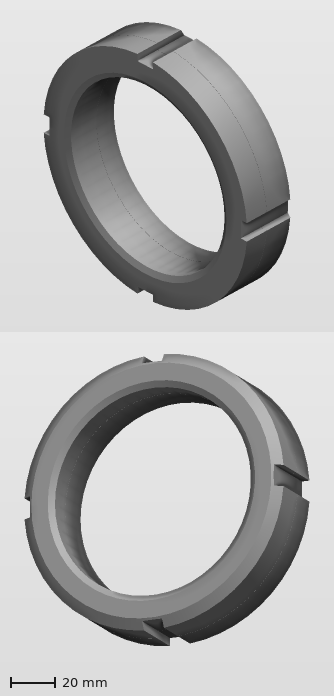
import cadquery as cq
import math

outer_diameter = 130.0
bore_diameter = 98.0
total_width = 31.0
front_rim_width = 13.0
joint_gap = 0.1

spigot_diameter = 110.2
spigot_length = 5.0

slot_count = 4
slot_width = 10.0
slot_depth = 4.0

chamfer_angle = 30
chamfer_slope = math.tan(math.radians(chamfer_angle))
bore_chamfer_depth = 2.9
bore_chamfer_width = bore_chamfer_depth * chamfer_slope
rim_chamfer_width = 2.9
rim_chamfer_depth = rim_chamfer_width / chamfer_slope

outer_radius = outer_diameter / 2
bore_radius = bore_diameter / 2
spigot_radius = spigot_diameter / 2
front_face = -total_width / 2
rear_face = total_width / 2
front_shoulder = front_face + front_rim_width
spigot_end = front_shoulder + spigot_length
rear_shoulder = front_shoulder + joint_gap
recess_floor = spigot_end + joint_gap


def revolve_about_y(profile):
    """Turn a closed (radius, y) profile into a ring around the Y axis."""
    return cq.Workplane("XY").polyline(profile).close().revolve(360, (0, 0, 0), (0, 1, 0))


def cut_spanner_slots(ring):
    """Cut the evenly spaced slots along the full width of a ring."""
    cutter = cq.Workplane("XY").box(2 * slot_depth, total_width, slot_width).translate((outer_radius, 0, 0))
    for index in range(slot_count):
        ring = ring.cut(cutter.rotate((0, 0, 0), (0, 1, 0), index * 360 / slot_count))
    return ring


def make_front_ring():
    """Front ring with a chamfered bore and a short spigot on its rear side."""
    ring = revolve_about_y([
        (bore_radius + bore_chamfer_depth, front_face),
        (outer_radius, front_face),
        (outer_radius, front_shoulder),
        (spigot_radius, front_shoulder),
        (spigot_radius, spigot_end),
        (bore_radius, spigot_end),
        (bore_radius, front_face + bore_chamfer_width),
    ])
    return cut_spanner_slots(ring)


def make_rear_ring():
    """Rear ring with a chamfered bore and rim, recessed for the spigot."""
    ring = revolve_about_y([
        (bore_radius, recess_floor),
        (spigot_radius, recess_floor),
        (spigot_radius, rear_shoulder),
        (outer_radius, rear_shoulder),
        (outer_radius, rear_face - rim_chamfer_width),
        (outer_radius - rim_chamfer_depth, rear_face),
        (bore_radius + bore_chamfer_depth, rear_face),
        (bore_radius, rear_face - bore_chamfer_width),
    ])
    return cut_spanner_slots(ring)


front_ring = make_front_ring()
rear_ring = make_rear_ring()

result = cq.Compound.makeCompound([front_ring.solids().val(), rear_ring.solids().val()])